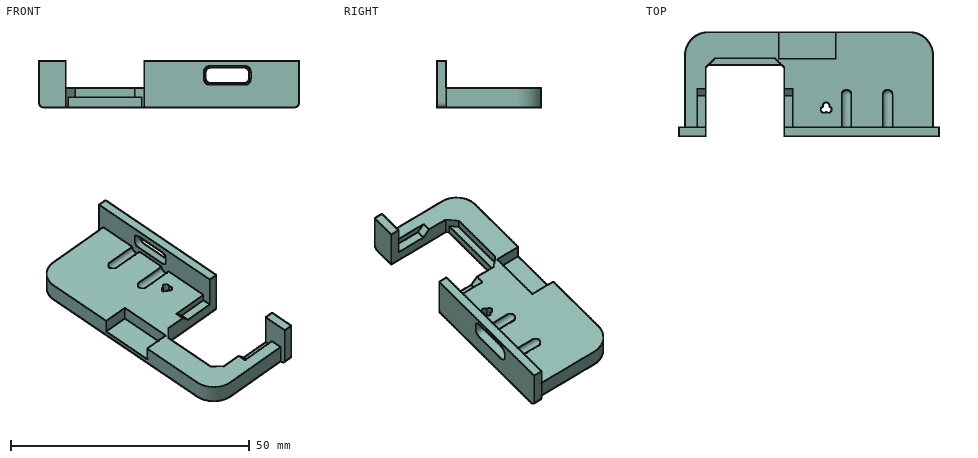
import cadquery as cq
import math

length = 54.6
depth = 21.9
height = 9.85

wall_thickness = 1.95
wall_corner_radius = 1.1

plate_inset = 1.25
plate_thickness = 4.15
plate_corner_radius = 4.95

notch_left = 5.7
notch_right = 22.05
notch_back = 16.45
notch_bevel = 1.95
ledge_depth = 1.5
ledge_height = 2.15

channel_width = 1.85
channel_depth = 1.55
channel_end = 10.05

recess_left = 20.9
recess_width = 12.0
recess_length = 5.55
recess_depth = 3.05

groove_radius = 1.05
groove_centers = (35.15, 43.8)
groove_end = 8.75

window_center_x = 39.55
window_center_z = 6.75
window_length = 9.95
window_height = 4.05
window_radius = 1.4
window_inset = 0.45

lobed_hole_x = 30.9
lobed_hole_y = 5.9
lobe_radius = 0.65
lobe_offset = 0.55
lobe_count = 3


def box(x, y, z, size_x, size_y, size_z):
    """Box placed by its lowest corner."""
    return cq.Workplane("XY").box(size_x, size_y, size_z, centered=False).translate((x, y, z))


def make_wall():
    wall = box(0, 0, 0, length, wall_thickness, height)
    return wall.edges("|Y and <Z").fillet(wall_corner_radius)


def make_plate():
    plate = box(
        plate_inset, wall_thickness, 0,
        length - 2 * plate_inset, depth - wall_thickness, plate_thickness,
    )
    return plate.edges("|Z and >Y").fillet(plate_corner_radius)


def make_notch():
    """Notch volume, leaving the ledge standing at its back."""
    width = notch_right - notch_left
    notch = box(notch_left, 0, 0, width, notch_back, height)
    notch = notch.edges("|Z and >Y").chamfer(notch_bevel)
    ledge = box(notch_left, notch_back - ledge_depth, 0, width, ledge_depth, ledge_height)
    return notch.cut(ledge)


def make_channels():
    """One cutter spanning the notch, with a 45 degree slope at its back end."""
    floor = plate_thickness - channel_depth
    return (
        cq.Workplane("YZ", origin=(notch_left - channel_width, 0, 0))
        .moveTo(wall_thickness, floor)
        .lineTo(channel_end - channel_depth, floor)
        .lineTo(channel_end, plate_thickness)
        .lineTo(wall_thickness, plate_thickness)
        .close()
        .extrude(notch_right - notch_left + 2 * channel_width)
    )


def make_recess():
    return box(
        recess_left, depth - recess_length, plate_thickness - recess_depth,
        recess_width, recess_length, recess_depth,
    )


def make_groove(x):
    shaft = (
        cq.Workplane("XZ", origin=(x, groove_end, plate_thickness))
        .circle(groove_radius)
        .extrude(groove_end - wall_thickness)
    )
    tip = cq.Workplane("XY").sphere(groove_radius).translate((x, groove_end, plate_thickness))
    return shaft.union(tip)


def make_window():
    """Rounded opening that narrows evenly from the front face to the back of the wall."""
    taper = math.degrees(math.atan(window_inset / wall_thickness))
    outline = cq.Sketch().rect(window_length, window_height).vertices().fillet(window_radius)
    return (
        cq.Workplane("XZ", origin=(window_center_x, 0, window_center_z))
        .placeSketch(outline)
        .extrude(-wall_thickness, taper=taper)
    )


def make_lobe(index):
    """One lobe of the hole; the first points to the back."""
    angle = math.radians(90 + 360 / lobe_count * index)
    return (
        cq.Workplane("XY")
        .center(
            lobed_hole_x + lobe_offset * math.cos(angle),
            lobed_hole_y + lobe_offset * math.sin(angle),
        )
        .circle(lobe_radius)
        .extrude(plate_thickness)
    )


result = make_wall().union(make_plate())
result = result.cut(make_notch())
result = result.cut(make_channels())
result = result.cut(make_recess())
for groove_x in groove_centers:
    result = result.cut(make_groove(groove_x))
result = result.cut(make_window())
for lobe_index in range(lobe_count):
    result = result.cut(make_lobe(lobe_index))